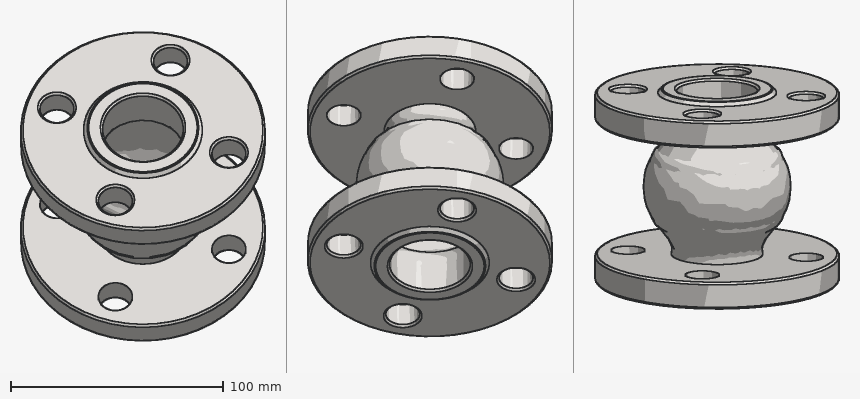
import cadquery as cq

height = 95.0
flange_radius = 57.5
flange_thickness = 13.0
edge_chamfer = 1.0

face_height = 2.0
face_base_radius = 28.0
lip_height = 0.2
lip_width = 0.7

bore_diameter = 38.0
bolt_hole_diameter = 16.0
bolt_circle_diameter = 85.0
bolt_count = 4

bulge_radius = 34.7
shoulder_radius = 26.1
shoulder_height = 20.7
neck_radius = 21.3
neck_height = 29.9
neck_end_radius = 21.6
wall = 2.3

face_z = height / 2
flange_top_z = face_z - face_height
flange_bottom_z = flange_top_z - flange_thickness
bore_radius = bore_diameter / 2
lip_outer_radius = face_base_radius - (face_height - lip_height)
face_radius = lip_outer_radius - lip_width


def upper_half():
    """Revolved upper half: flange, raised face, bore and half of the hollow bulge."""
    outer_points = [
        (shoulder_radius, shoulder_height),
        (neck_radius, neck_height),
        (neck_end_radius, flange_bottom_z),
    ]
    cavity_points = [
        (neck_radius - wall, neck_height),
        (shoulder_radius - wall, shoulder_height),
        (bulge_radius - wall, 0),
    ]
    profile = (
        cq.Workplane("XZ")
        .moveTo(bulge_radius, 0)
        .spline(outer_points, tangents=[(0, 1), (0.3, 1)], includeCurrent=True)
        .lineTo(flange_radius - edge_chamfer, flange_bottom_z)
        .lineTo(flange_radius, flange_bottom_z + edge_chamfer)
        .lineTo(flange_radius, flange_top_z - edge_chamfer)
        .lineTo(flange_radius - edge_chamfer, flange_top_z)
        .lineTo(face_base_radius, flange_top_z)
        .lineTo(lip_outer_radius, face_z - lip_height)
        .lineTo(face_radius, face_z)
        .lineTo(bore_radius + edge_chamfer, face_z)
        .lineTo(bore_radius, face_z - edge_chamfer)
        .lineTo(bore_radius, flange_bottom_z)
        .spline(cavity_points, tangents=[(0, -1), (0, -1)], includeCurrent=True)
        .close()
    )
    return profile.revolve(360, (0, 0, 0), (0, 1, 0))


def cut_bolt_holes(body):
    """Bolt holes on the diagonals, countersunk from the sealing side of the flange."""
    return (
        body.faces(">Z")
        .workplane(origin=(0, 0, face_z), offset=-face_height)
        .polarArray(bolt_circle_diameter / 2, 45, 360, bolt_count)
        .cskHole(
            bolt_hole_diameter,
            bolt_hole_diameter + 2 * edge_chamfer,
            90,
            depth=flange_thickness,
        )
    )


half = cut_bolt_holes(upper_half())
result = half.union(half.mirror("XY"))